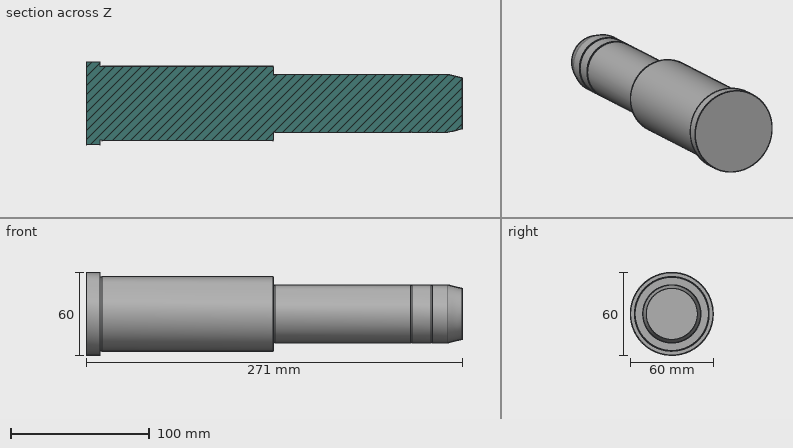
import cadquery as cq

total_length = 271.0

flange_diameter = 60.0
flange_length = 10.0
flange_chamfer = 0.3

body_diameter = 54.0
shoulder_x = 135.0
shoulder_chamfer = 0.5

rod_diameter = 42.0
nose_length = 10.5
nose_tip_diameter = 36.9

groove_width = 1.0
groove_depth = 0.3
ring_groove_starts = (233.5, 248.2)


def cylinder(start_x, end_x, diameter):
    """Solid cylinder on the X axis between two X positions."""
    return cq.Workplane("YZ", origin=(start_x, 0, 0)).circle(diameter / 2).extrude(end_x - start_x)


def nose():
    """Straight taper from the rod diameter down to the flat tip."""
    start_x = total_length - nose_length
    rod_radius = rod_diameter / 2
    tip_radius = nose_tip_diameter / 2
    return (
        cq.Workplane("XY")
        .moveTo(start_x, 0)
        .lineTo(start_x, rod_radius)
        .lineTo(total_length, tip_radius)
        .lineTo(total_length, 0)
        .close()
        .revolve(360, (0, 0, 0), (1, 0, 0))
    )


def groove(start_x, surface_diameter):
    """Ring-shaped cutter for a shallow groove in a round surface."""
    end_x = start_x + groove_width
    outer = cylinder(start_x, end_x, surface_diameter + 2 * groove_depth)
    inner = cylinder(start_x, end_x, surface_diameter - 2 * groove_depth)
    return outer.cut(inner)


flange = cylinder(0, flange_length, flange_diameter).faces("<X or >X").chamfer(flange_chamfer)

body = cylinder(flange_length, shoulder_x, body_diameter).faces(">X").chamfer(shoulder_chamfer)
body = body.cut(groove(flange_length, body_diameter))

rod = cylinder(shoulder_x, total_length - nose_length, rod_diameter)
for groove_x in (shoulder_x, *ring_groove_starts):
    rod = rod.cut(groove(groove_x, rod_diameter))

result = flange.union(body).union(rod).union(nose())